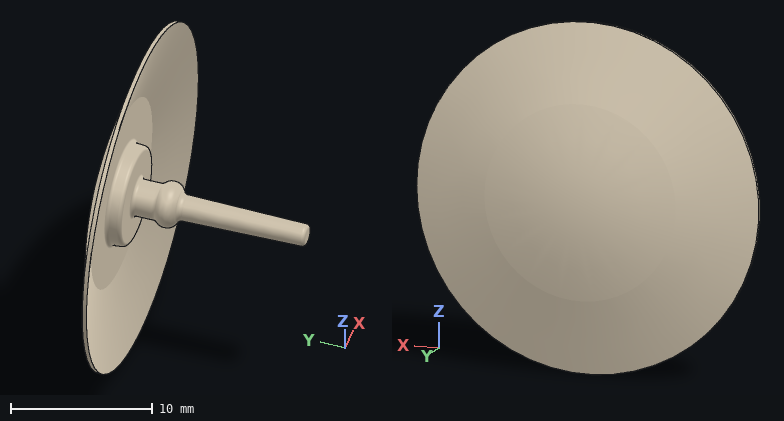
import math

import cadquery as cq


rim_radius = 12.8
rim_width = 0.33
cone_angle = math.radians(15.8)
apex_y = 2.92
inner_flat_radius = 7.0
floor_y = 1.53

hub_base_radius = 4.0
hub_root_radius = 3.71
hub_front_radius = 3.67
hub_face_y = 0.42
hub_fillet = 0.32

stem_radius = 1.34
stem_root_fillet = 0.3
shoulder_y = -1.12

bulb_radius = 1.7
bulb_start_y = -1.42
bulb_start_radius = 1.46
bulb_mid_y = -2.04
bulb_end_y = -2.8
bulb_end_radius = 1.22

needle_y = -3.28
needle_radius = 0.97
tip_y = -12.31
tip_radius = 0.83
tip_fillet = 0.3


def revolve_about_axis(profile):
    """Full turn of an XY profile about the Y axis."""
    return profile.revolve(360, (0, 0, 0), (0, 1, 0))


def quarter_arc_mid(corner, radius, x_side, y_side):
    """Midpoint of a quarter arc rounding a corner; the arc's centre lies on the given sides of it."""
    inset = radius * (1 - math.sqrt(0.5))
    return corner[0] + x_side * inset, corner[1] + y_side * inset


def dome_shell():
    """Shell with a spherical crown running tangentially into a cone, and a flat inner floor."""
    cone_slope = math.tan(cone_angle)
    cone_apex_y = rim_width + rim_radius * cone_slope
    crown_radius = (cone_apex_y - apex_y) / (1 / math.cos(cone_angle) - 1)
    crown_edge_radius = crown_radius * math.sin(cone_angle)
    crown_edge_y = cone_apex_y - crown_edge_radius * cone_slope
    half_angle = cone_angle / 2
    crown_mid = (
        crown_radius * math.sin(half_angle),
        apex_y - crown_radius * (1 - math.cos(half_angle)),
    )
    profile = (
        cq.Workplane("XY")
        .moveTo(0, floor_y)
        .lineTo(inner_flat_radius, floor_y)
        .lineTo(rim_radius, 0)
        .lineTo(rim_radius, rim_width)
        .lineTo(crown_edge_radius, crown_edge_y)
        .threePointArc(crown_mid, (0, apex_y))
        .close()
    )
    return revolve_about_axis(profile)


def hub():
    """Low, slightly tapered round disc with a flared base and a rounded front edge."""
    base_fillet = hub_base_radius - hub_root_radius
    profile = (
        cq.Workplane("XY")
        .moveTo(0, floor_y)
        .lineTo(hub_base_radius, floor_y)
        .threePointArc(
            quarter_arc_mid((hub_root_radius, floor_y), base_fillet, 1, -1),
            (hub_root_radius, floor_y - base_fillet),
        )
        .lineTo(hub_front_radius, hub_face_y + hub_fillet)
        .threePointArc(
            quarter_arc_mid((hub_front_radius, hub_face_y), hub_fillet, -1, 1),
            (hub_front_radius - hub_fillet, hub_face_y),
        )
        .lineTo(0, hub_face_y)
        .close()
    )
    return revolve_about_axis(profile)


def stem():
    """Root fillet, cylindrical stem, rounded bulb and tapered needle with a rounded tip."""
    profile = (
        cq.Workplane("XY")
        .moveTo(0, hub_face_y)
        .lineTo(stem_radius + stem_root_fillet, hub_face_y)
        .threePointArc(
            quarter_arc_mid((stem_radius, hub_face_y), stem_root_fillet, 1, -1),
            (stem_radius, hub_face_y - stem_root_fillet),
        )
        .lineTo(stem_radius, shoulder_y)
        .tangentArcPoint((bulb_start_radius, bulb_start_y), relative=False)
        .threePointArc((bulb_radius, bulb_mid_y), (bulb_end_radius, bulb_end_y))
        .tangentArcPoint((needle_radius, needle_y), relative=False)
        .lineTo(tip_radius, tip_y + tip_fillet)
        .threePointArc(
            quarter_arc_mid((tip_radius, tip_y), tip_fillet, -1, 1),
            (tip_radius - tip_fillet, tip_y),
        )
        .lineTo(0, tip_y)
        .close()
    )
    return revolve_about_axis(profile)


result = dome_shell().union(hub()).union(stem())